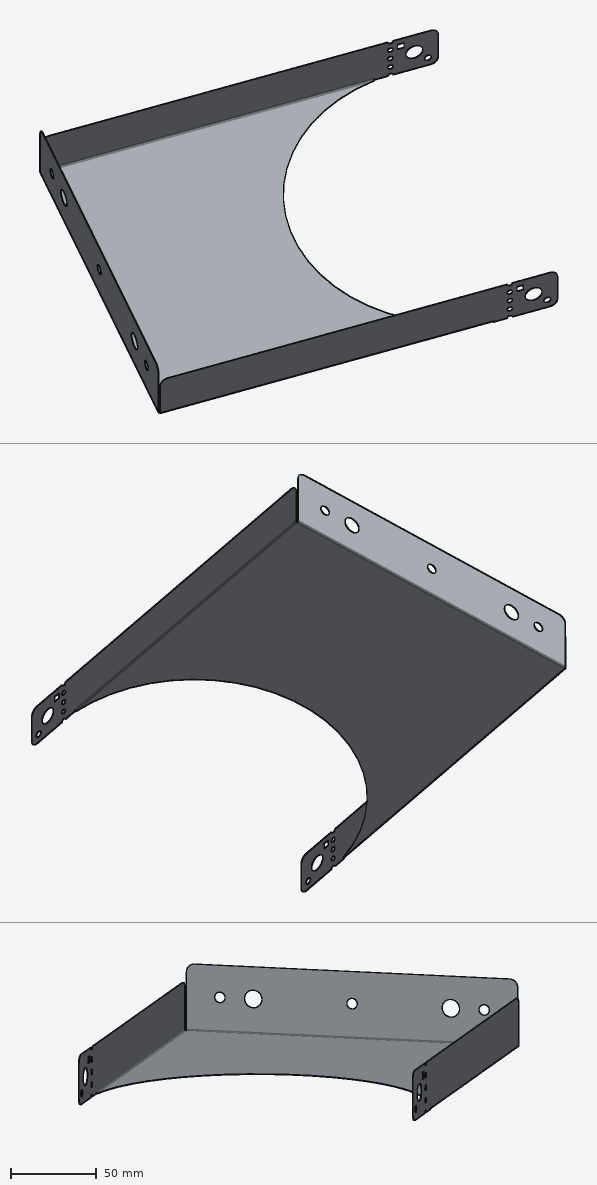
import cadquery as cq
import math

width = 202.0
length = 248.5
front_height = 40.0
side_height = 29.8

thickness = 0.5
bend_radius = 1.0
half_width = width / 2
flat_half_width = half_width - bend_radius

cutout_radius = half_width
cutout_front = 121.5
cutout_center_y = cutout_front + cutout_radius
floor_end = cutout_center_y - math.sqrt(cutout_radius**2 - flat_half_width**2)

corner_radius = 5.0

front_hole_z = 20.9
front_large_diameter = 10.5
front_large_x = 59.5
front_small_diameter = 6.2
front_small_x = 79.7

pivot_diameter = 10.5
pivot_y = length - side_height / 2
pivot_z = side_height / 2
diagonal_offset = 8.5
pin_diameter = 4.2
square_size = 4.0
row_y = length - side_height
row_diameter = 3.2
row_gaps = 4
row_pitch = side_height / row_gaps


def make_floor():
    sheet = (
        cq.Workplane("XY")
        .rect(2 * flat_half_width, floor_end - bend_radius)
        .extrude(thickness)
        .translate((0, (floor_end + bend_radius) / 2, 0))
    )
    cutter = cq.Workplane("XY").center(0, cutout_center_y).circle(cutout_radius).extrude(thickness)
    return sheet.cut(cutter)


def make_bend(plane, run):
    """Quarter-ring bend, from the upright wall at zero on the plane's first axis down to the floor."""
    inner_radius = bend_radius - thickness
    diagonal = math.sqrt(0.5)

    def arc_middle(radius):
        return (bend_radius - radius * diagonal, bend_radius - radius * diagonal)

    return (
        cq.Workplane(plane)
        .moveTo(0, bend_radius)
        .threePointArc(arc_middle(bend_radius), (bend_radius, 0))
        .lineTo(bend_radius, thickness)
        .threePointArc(arc_middle(inner_radius), (thickness, bend_radius))
        .close()
        .extrude(run)
    )


def make_front():
    wall = (
        cq.Workplane("XY")
        .box(2 * flat_half_width, thickness, front_height - bend_radius, centered=(True, False, False))
        .translate((0, 0, bend_radius))
        .edges("|Y and >Z")
        .fillet(corner_radius)
    )
    hole_plane = cq.Workplane("XZ").center(0, front_hole_z)
    large_points = [(-front_large_x, 0), (front_large_x, 0)]
    small_points = [(-front_small_x, 0), (0, 0), (front_small_x, 0)]
    large_holes = hole_plane.pushPoints(large_points).circle(front_large_diameter / 2).extrude(-thickness)
    small_holes = hole_plane.pushPoints(small_points).circle(front_small_diameter / 2).extrude(-thickness)
    bend = make_bend("YZ", 2 * flat_half_width).translate((-flat_half_width, 0, 0))
    return wall.cut(large_holes).cut(small_holes).union(bend)


def make_left_side():
    wall = (
        cq.Workplane("YZ")
        .moveTo(bend_radius, bend_radius)
        .lineTo(floor_end, bend_radius)
        .lineTo(floor_end, 0)
        .lineTo(length, 0)
        .lineTo(length, side_height)
        .lineTo(bend_radius, side_height)
        .close()
        .extrude(thickness)
        .edges("|X and (>Z or >Y)")
        .fillet(corner_radius)
    )
    side_plane = cq.Workplane("YZ")
    pivot = side_plane.center(pivot_y, pivot_z).circle(pivot_diameter / 2).extrude(thickness)
    pin = (
        side_plane.center(pivot_y + diagonal_offset, pivot_z - diagonal_offset)
        .circle(pin_diameter / 2)
        .extrude(thickness)
    )
    square = (
        side_plane.center(pivot_y - diagonal_offset, pivot_z + diagonal_offset)
        .rect(square_size, square_size)
        .extrude(thickness)
    )
    row_points = [(row_y, i * row_pitch) for i in range(row_gaps + 1)]
    row = side_plane.pushPoints(row_points).circle(row_diameter / 2).extrude(thickness)
    bend = make_bend("XZ", floor_end - bend_radius).translate((0, floor_end, 0))
    side = wall.cut(pivot).cut(pin).cut(square).cut(row).union(bend)
    return side.translate((-half_width, 0, 0))


left_side = make_left_side()
right_side = left_side.mirror("YZ")
result = make_floor().union(make_front()).union(left_side).union(right_side)